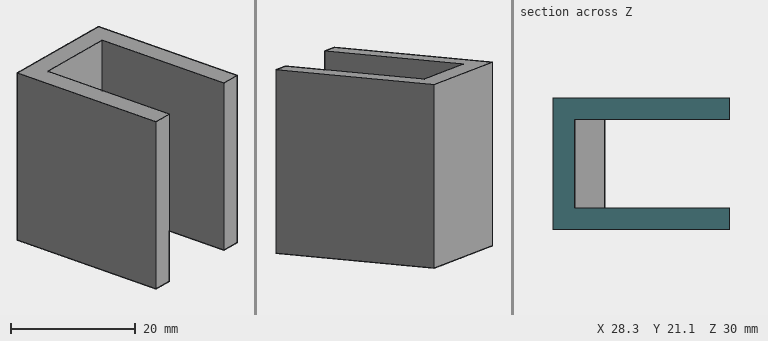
import cadquery as cq

length = 28.3
width = 21.12
height = 30.0

wall = 3.5
ledge_depth = 4.83
ledge_thickness = wall

slot_width = width - 2 * wall
slot_length = length - wall


def block(size_x, size_y, size_z, start_x):
    """Box resting on Z = 0, centred on Y, with its -X face at start_x."""
    return cq.Workplane("XY").box(size_x, size_y, size_z, centered=(False, True, False)).translate((start_x, 0, 0))


def channel():
    """Back wall with two side walls, open at the top, bottom and +X end."""
    body = block(length, width, height, 0)
    slot = block(slot_length, slot_width, height, wall)
    return body.cut(slot)


def ledge():
    """Ledge between the side walls at the foot of the back wall."""
    return block(wall + ledge_depth, slot_width, ledge_thickness, 0)


result = channel().union(ledge())